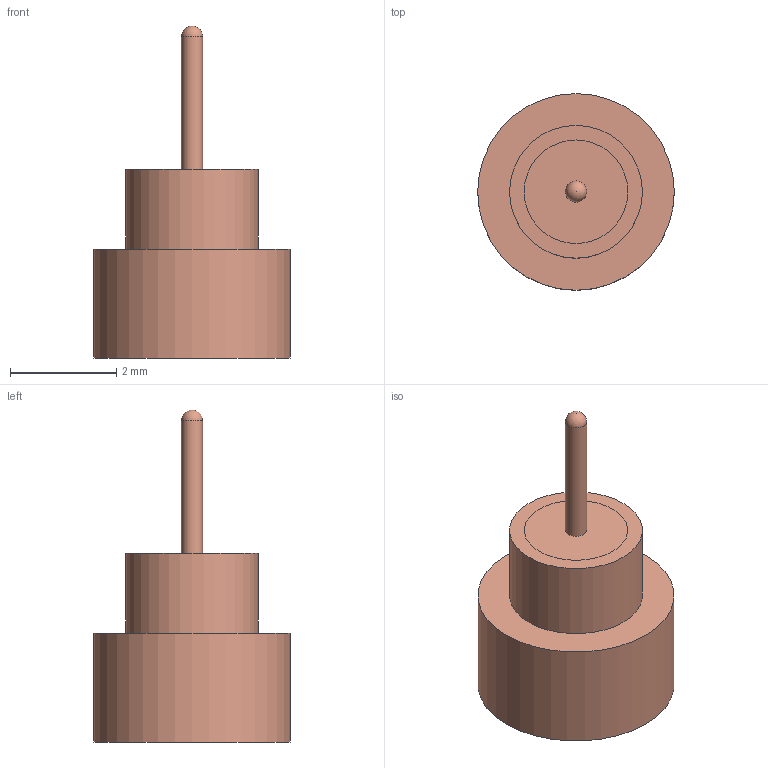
import cadquery as cq

base_diameter = 3.7
base_height = 2.05
neck_diameter = 2.5
neck_height = 1.5
insulator_diameter = 1.95
pin_diameter = 0.4
pin_length = 2.7

neck_top = base_height + neck_height
pin_radius = pin_diameter / 2


def cylinder(diameter, bottom, height):
    """Upright cylinder on the Z axis."""
    return cq.Workplane("XY").workplane(offset=bottom).circle(diameter / 2).extrude(height)


def make_shell():
    """Stepped outer body with its neck bored for the insulator."""
    base = cylinder(base_diameter, 0, base_height)
    neck = cylinder(neck_diameter, base_height, neck_height)
    bore = cylinder(insulator_diameter, base_height, neck_height)
    return base.union(neck).cut(bore)


def make_insulator():
    """Plug that fills the bore, flush with the top of the neck."""
    return cylinder(insulator_diameter, base_height, neck_height)


def make_pin():
    """Contact pin with a hemispherical tip."""
    shank = cylinder(pin_diameter, neck_top, pin_length - pin_radius)
    tip_centre = neck_top + pin_length - pin_radius
    tip = cq.Workplane("XY").sphere(pin_radius).translate((0, 0, tip_centre))
    return shank.union(tip)


result = make_shell().union(make_insulator(), clean=False).union(make_pin(), clean=False)